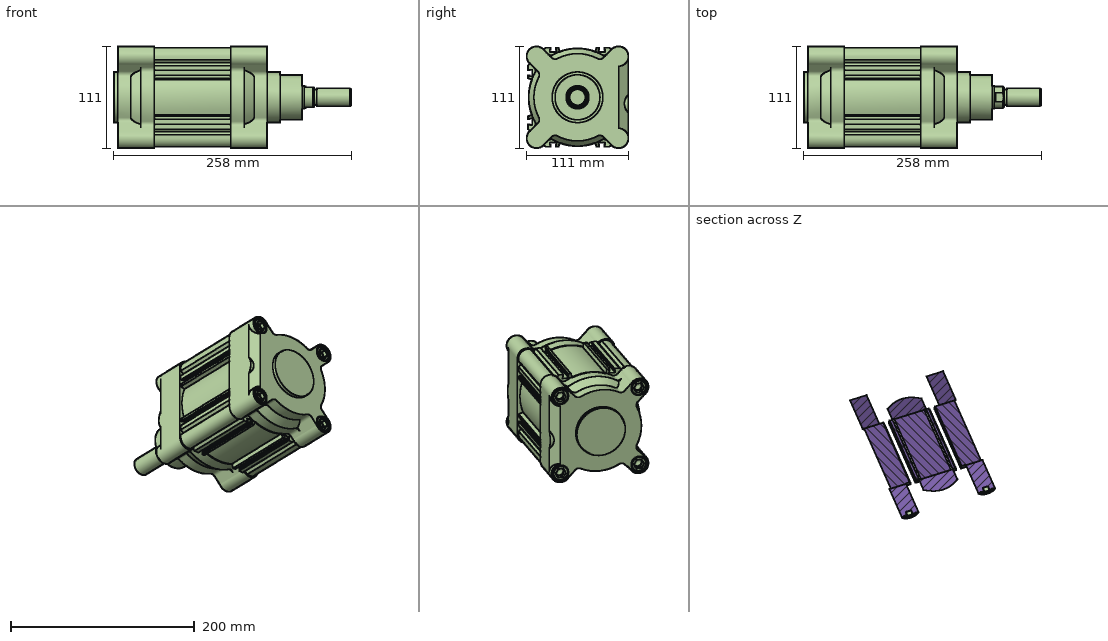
import cadquery as cq
import math


SPIGOT_LENGTH = 4.0
COVERS_LENGTH = 162.5
COVER_DEPTH = 39.7
NOSE_BASE_LENGTH = 14.2
NOSE_LENGTH = 24.0
TOTAL_LENGTH = 258.0

REAR_FACE = SPIGOT_LENGTH
FRONT_FACE = REAR_FACE + COVERS_LENGTH
MID_PLANE = (REAR_FACE + FRONT_FACE) / 2
BARREL_START = REAR_FACE + COVER_DEPTH
BARREL_LENGTH = COVERS_LENGTH - 2 * COVER_DEPTH
NOSE_END = FRONT_FACE + NOSE_BASE_LENGTH + NOSE_LENGTH

HALF_WIDTH = 55.5
BOSS_RADIUS = 10.8
BOSS_OFFSET = HALF_WIDTH - BOSS_RADIUS
ARM_HALF_WIDTH = 10.5
ARM_FILLET = 5.2
CORE_RADIUS = 47.5
COLLAR_RADIUS = 53.5
CONE_START = 14.2
COLLAR_START = 25.0
SPIGOT_RADIUS = 27.5
NOSE_RADIUS = 24.5

PORT_BEVEL_WIDTH = 10.3
PORT_BEVEL_LENGTH = 7.2
PORT_PAD_RADIUS = 18.0
PORT_PAD_X = 22.2
PORT_PAD_Z = -7.0
PORT_PAD_DEPTH = 15.5

GROOVE_OUTER_RADIUS = 8.8
GROOVE_INNER_RADIUS = 8.0
GROOVE_DEPTH = 0.8
SOCKET_WIDTH = 10.0
SOCKET_DEPTH = 5.2
SOCKET_TIP_RADIUS = 4.5
SOCKET_TIP_DEPTH = 2.3

BARREL_INSET = 1.47
BARREL_HALF_WIDTH = HALF_WIDTH - BARREL_INSET
BARREL_CORNER_RADIUS = BARREL_HALF_WIDTH - BOSS_OFFSET
BARREL_RADIUS = 52.6
V_START = 40.8
V_BOTTOM = 37.7
V_END = 34.5
V_DEPTH = V_BOTTOM - V_END
MOUTH_INNER = 23.7
MOUTH_OUTER = 29.2
SLOT_UNDERCUT = 0.8
SLOT_LIP = 2.0
SLOT_DEPTH = 4.6
FLANGE_END = 20.6
FLANGE_FOOT = 19.0

ROD_DIAMETER = 25.0
ROD_LENGTH = 2.3
WRENCH_DIAMETER = 24.0
WRENCH_END = 217.8
WRENCH_CHAMFER = 1.5
WRENCH_SIZE = 22.0
FLAT_START = 208.7
NECK_DIAMETER = 17.0
NECK_LENGTH = 3.0
THREAD_DIAMETER = 19.9
THREAD_CHAMFER = 1.3

CORNERS = [(y, z) for y in (-BOSS_OFFSET, BOSS_OFFSET) for z in (-BOSS_OFFSET, BOSS_OFFSET)]


def section(x):
    """Workplane across the axis at x; its first direction is Y and its second is Z."""
    return cq.Workplane("YZ", origin=(x, 0, 0))


def disc(x, radius, length):
    return section(x).circle(radius).extrude(length)


def armed_disc(x, radius, length):
    """Disc with four diagonal arms, filleted where the arms leave the disc."""
    arm_length = 2 * BOSS_OFFSET * math.sqrt(2)
    body = disc(x, radius, length)
    for angle in (45, 135):
        arm = section(x).rect(arm_length, 2 * ARM_HALF_WIDTH).extrude(length)
        body = body.union(arm.rotate((0, 0, 0), (1, 0, 0), angle))
    inner_corners = cq.selectors.BoxSelector(
        (x - 2.5, -BOSS_OFFSET, -BOSS_OFFSET), (x + length + 2.5, BOSS_OFFSET, BOSS_OFFSET))
    return body.edges("|X").edges(inner_corners).fillet(ARM_FILLET)


def port_side():
    """Flat +Y side of a cover, spanning between the two bosses there."""
    outline = [
        (0, 0),
        (BOSS_OFFSET, BOSS_OFFSET),
        (HALF_WIDTH, BOSS_OFFSET),
        (HALF_WIDTH, -BOSS_OFFSET),
        (BOSS_OFFSET, -BOSS_OFFSET),
    ]
    return section(REAR_FACE).polyline(outline).close().extrude(COVER_DEPTH)


def port_bevel():
    """Wedge cut from the outer end of the port side."""
    return (
        cq.Workplane("XY", origin=(REAR_FACE, HALF_WIDTH, 0))
        .polyline([(0, 0), (PORT_BEVEL_LENGTH, 0), (0, -PORT_BEVEL_WIDTH)])
        .close()
        .extrude(BOSS_OFFSET, both=True)
    )


def port_pad():
    """Round pad, level with the port side, standing out of its bevel."""
    return (
        cq.Workplane("XZ", origin=(REAR_FACE + PORT_PAD_X, HALF_WIDTH, PORT_PAD_Z))
        .circle(PORT_PAD_RADIUS)
        .extrude(PORT_PAD_DEPTH)
    )


def make_cover():
    """Plain cover with its outer face at the rear."""
    core = armed_disc(REAR_FACE, CORE_RADIUS, COVER_DEPTH)
    collar = armed_disc(REAR_FACE + COLLAR_START, COLLAR_RADIUS, COVER_DEPTH - COLLAR_START)
    cone = (
        section(REAR_FACE + CONE_START)
        .circle(CORE_RADIUS)
        .workplane(offset=COLLAR_START - CONE_START)
        .circle(COLLAR_RADIUS)
        .loft()
    )
    bosses = section(REAR_FACE).pushPoints(CORNERS).circle(BOSS_RADIUS).extrude(COVER_DEPTH)
    body = core.union(collar).union(cone).union(port_side()).cut(port_bevel())
    pad = port_pad().intersect(disc(REAR_FACE, 2 * HALF_WIDTH, COVER_DEPTH))
    return body.union(bosses).union(pad)


def cut_screw_heads(cover):
    """Ring grooves and cone-ended hexagon sockets of the screws in the corner bosses."""
    grooves = (
        section(REAR_FACE)
        .pushPoints(CORNERS)
        .circle(GROOVE_OUTER_RADIUS)
        .circle(GROOVE_INNER_RADIUS)
        .extrude(GROOVE_DEPTH)
    )
    socket_diagonal = SOCKET_WIDTH / math.cos(math.pi / 6)
    sockets = section(REAR_FACE).pushPoints(CORNERS).polygon(6, socket_diagonal).extrude(SOCKET_DEPTH)
    cover = cover.cut(grooves).cut(sockets)
    for y, z in CORNERS:
        socket_floor = cq.Vector(REAR_FACE + SOCKET_DEPTH, y, z)
        tip = cq.Solid.makeCone(SOCKET_TIP_RADIUS, 0, SOCKET_TIP_DEPTH, socket_floor, cq.Vector(1, 0, 0))
        cover = cover.cut(cq.Workplane(tip))
    return cover


def make_rear_cover():
    return cut_screw_heads(make_cover()).union(disc(0, SPIGOT_RADIUS, SPIGOT_LENGTH))


def make_front_cover():
    nose_base = disc(FRONT_FACE, SPIGOT_RADIUS, NOSE_BASE_LENGTH)
    nose = disc(FRONT_FACE + NOSE_BASE_LENGTH, NOSE_RADIUS, NOSE_LENGTH)
    return make_cover().mirror("YZ", (MID_PLANE, 0, 0)).union(nose_base).union(nose)


def corner_point(angle):
    """Point on the round corner of the barrel, the angle measured from the direction across the flank."""
    return (
        BOSS_OFFSET + BARREL_CORNER_RADIUS * math.cos(angle),
        BOSS_OFFSET + BARREL_CORNER_RADIUS * math.sin(angle),
    )


def flank_outline():
    """Half outline with a T-slot flange, from the barrel's mid-line to the middle of its corner."""
    flank_height = math.sqrt(BARREL_RADIUS**2 - FLANGE_FOOT**2)
    arc_middle = math.asin(FLANGE_FOOT / BARREL_RADIUS) / 2
    slot_inner = MOUTH_INNER - SLOT_UNDERCUT
    slot_outer = MOUTH_OUTER + SLOT_UNDERCUT
    top = BARREL_HALF_WIDTH
    lip = top - SLOT_LIP
    floor = top - SLOT_DEPTH
    return (
        section(BARREL_START)
        .lineTo(0, BARREL_RADIUS)
        .threePointArc(
            (BARREL_RADIUS * math.sin(arc_middle), BARREL_RADIUS * math.cos(arc_middle)),
            (FLANGE_FOOT, flank_height))
        .lineTo(FLANGE_END, top)
        .lineTo(MOUTH_INNER, top)
        .lineTo(MOUTH_INNER, lip)
        .lineTo(slot_inner, lip)
        .lineTo(slot_inner, floor)
        .lineTo(slot_outer, floor)
        .lineTo(slot_outer, lip)
        .lineTo(MOUTH_OUTER, lip)
        .lineTo(MOUTH_OUTER, top)
        .lineTo(V_END, top)
        .lineTo(V_BOTTOM, top - V_DEPTH)
        .lineTo(V_START, top)
        .lineTo(BOSS_OFFSET, top)
        .threePointArc(corner_point(math.pi * 3 / 8), corner_point(math.pi / 4))
    )


def barrel_flank():
    """Quarter of the barrel around its +Z side: a half and its mirror image."""
    half = flank_outline().close().extrude(BARREL_LENGTH)
    return half.union(half.mirror("XZ"))


def make_barrel():
    flank = barrel_flank()
    barrel = flank
    for angle in (90, 180, 270):
        barrel = barrel.union(flank.rotate((0, 0, 0), (1, 0, 0), angle))
    return barrel.clean()


def wrench_section(start):
    """Chamfered round length of the rod with two flats for a wrench."""
    body = disc(start, WRENCH_DIAMETER / 2, WRENCH_END - start).faces(">X").chamfer(WRENCH_CHAMFER)
    flat_length = WRENCH_END - FLAT_START
    for side in (-1, 1):
        waste = cq.Workplane("XY").box(flat_length, WRENCH_DIAMETER, WRENCH_DIAMETER)
        waste_z = side * (WRENCH_SIZE + WRENCH_DIAMETER) / 2
        body = body.cut(waste.translate((FLAT_START + flat_length / 2, 0, waste_z)))
    return body


def make_rod():
    rod_end = NOSE_END + ROD_LENGTH
    neck_end = WRENCH_END + NECK_LENGTH
    rod = disc(NOSE_END, ROD_DIAMETER / 2, ROD_LENGTH)
    neck = disc(WRENCH_END, NECK_DIAMETER / 2, NECK_LENGTH)
    thread = disc(neck_end, THREAD_DIAMETER / 2, TOTAL_LENGTH - neck_end).faces(">X").chamfer(THREAD_CHAMFER)
    return rod.union(wrench_section(rod_end)).union(neck).union(thread)


rear_cover = make_rear_cover()
barrel = make_barrel()
front_cover = make_front_cover()
rod = make_rod()

result = cq.Compound.makeCompound([rear_cover.val(), barrel.val(), front_cover.val(), rod.val()])